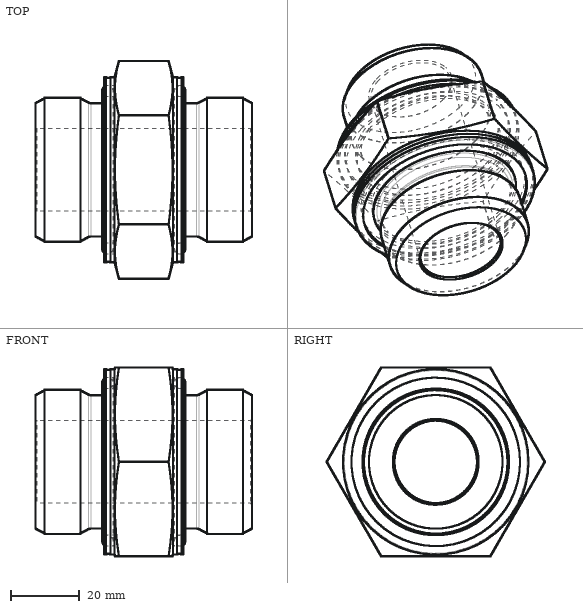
import cadquery as cq
import math

length = 63.0
half_length = length / 2
across_flats = 55.0
corner_diameter = 63.4
bore_diameter = 24.0
bore_chamfer = 0.5

thread_radius = 42.0 / 2
stub_radius = 41.7 / 2
neck_radius = 38.9 / 2
stub_chamfer_angle = math.radians(28)
stub_taper_start = 18.45
neck_blend_radius = 1.5

collar_radius = 54.0 / 2
collar_face = 11.6
collar_edge_round = 0.4
relief_outer = 10.9
relief_inner = 9.7
relief_depth = 0.25

hex_chamfer_angle = math.radians(15)
hex_corner_reach = 7.2

seal_outer_radius = 49.0 / 2
seal_inner_radius = 42.7 / 2
seal_section_radius = (seal_outer_radius - seal_inner_radius) / 2
seal_centre_radius = (seal_outer_radius + seal_inner_radius) / 2
seal_protrusion = 0.5
seal_centre = collar_face + seal_protrusion - seal_section_radius
groove_floor = seal_centre - seal_section_radius
lip_face = 11.3
lip_fillet = 0.9


def revolve_about_x(profile):
    """Revolve a closed profile, drawn as (x, radius), around the X axis."""
    return profile.close().revolve(360, (0, 0, 0), (1, 0, 0))


def make_half_turning():
    """Make the round outside of the +X half, from the centre to the end face."""
    chamfer_length = (stub_radius - neck_radius) / math.tan(stub_chamfer_angle)
    taper_end = stub_taper_start - chamfer_length

    tangent_length = neck_blend_radius * math.tan(stub_chamfer_angle / 2)
    blend_start = taper_end - tangent_length
    blend_mid_x = blend_start + neck_blend_radius * math.sin(stub_chamfer_angle / 2)
    blend_mid_r = neck_radius + neck_blend_radius * (1 - math.cos(stub_chamfer_angle / 2))
    blend_end_x = taper_end + tangent_length * math.cos(stub_chamfer_angle)
    blend_end_r = neck_radius + tangent_length * math.sin(stub_chamfer_angle)

    quarter = 1 - math.sqrt(0.5)
    profile = (
        cq.Workplane("XY")
        .moveTo(0, 0)
        .lineTo(half_length, 0)
        .lineTo(half_length, neck_radius)
        .lineTo(half_length - chamfer_length, stub_radius)
        .lineTo(half_length - chamfer_length, thread_radius)
        .lineTo(stub_taper_start, thread_radius)
        .lineTo(stub_taper_start, stub_radius)
        .lineTo(blend_end_x, blend_end_r)
        .threePointArc((blend_mid_x, blend_mid_r), (blend_start, neck_radius))
        .lineTo(lip_face + lip_fillet, neck_radius)
        .threePointArc(
            (lip_face + quarter * lip_fillet, neck_radius + quarter * lip_fillet),
            (lip_face, neck_radius + lip_fillet),
        )
        .lineTo(lip_face, seal_inner_radius)
        .lineTo(groove_floor, seal_inner_radius)
        .lineTo(groove_floor, seal_outer_radius)
        .lineTo(collar_face, seal_outer_radius)
        .lineTo(collar_face, collar_radius - collar_edge_round)
        .threePointArc(
            (collar_face - quarter * collar_edge_round, collar_radius - quarter * collar_edge_round),
            (collar_face - collar_edge_round, collar_radius),
        )
        .lineTo(relief_outer, collar_radius)
        .threePointArc(
            ((relief_outer + relief_inner) / 2, collar_radius - relief_depth),
            (relief_inner, collar_radius),
        )
        .lineTo(0, collar_radius)
    )
    return revolve_about_x(profile)


def make_hexagon():
    """Make the hexagon, two flats facing +Z and -Z, with its ends chamfered."""
    corner_radius = corner_diameter / 2
    tip = hex_corner_reach + (corner_radius - collar_radius) * math.tan(hex_chamfer_angle)
    prism = (
        cq.Workplane("YZ")
        .polygon(6, across_flats / math.cos(math.pi / 6))
        .extrude(tip, both=True)
    )
    envelope = revolve_about_x(
        cq.Workplane("XY")
        .moveTo(-tip, 0)
        .lineTo(-tip, collar_radius)
        .lineTo(-hex_corner_reach, corner_radius)
        .lineTo(hex_corner_reach, corner_radius)
        .lineTo(tip, collar_radius)
        .lineTo(tip, 0)
    )
    return prism.intersect(envelope)


def make_bore():
    """Make the through bore with a chamfer at each mouth."""
    bore_radius = bore_diameter / 2
    mouth_radius = bore_radius + bore_chamfer
    return revolve_about_x(
        cq.Workplane("XY")
        .moveTo(-half_length, 0)
        .lineTo(-half_length, mouth_radius)
        .lineTo(-half_length + bore_chamfer, bore_radius)
        .lineTo(half_length - bore_chamfer, bore_radius)
        .lineTo(half_length, mouth_radius)
        .lineTo(half_length, 0)
    )


def make_fitting():
    """Make the one-piece fitting: two turned ends, the hexagon and the bore."""
    half = make_half_turning()
    outside = half.union(half.mirror("YZ")).union(make_hexagon())
    return outside.cut(make_bore()).solids()


def make_seal_ring(side):
    """Make the round-section seal ring of one side (+1 or -1 along X)."""
    return (
        cq.Workplane("XY")
        .center(side * seal_centre, seal_centre_radius)
        .circle(seal_section_radius)
        .revolve(360, (0, -seal_centre_radius, 0), (1, -seal_centre_radius, 0))
    )


fitting = make_fitting()
seal_rings = [make_seal_ring(side).val() for side in (-1, 1)]

result = cq.Compound.makeCompound([fitting.val(), *seal_rings])